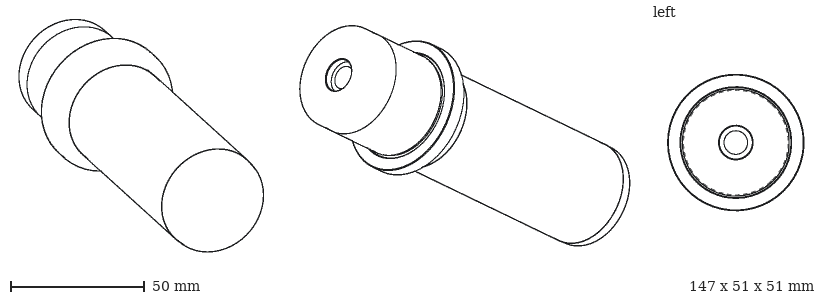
import cadquery as cq
import math

length = 147.0
shaft_radius = 20.0
lead_clearance = 0.03
lead_radius = shaft_radius - lead_clearance
lead_end = 9.7
short_end_round = 1.9

flange_radius = 25.5
flange_start = 36.8
flange_end = 43.0
flange_chamfer = 0.3
flange_back_round = 0.9

undercut_start = 35.9
undercut_radius = 19.5
face_groove_radius = 20.9
face_groove_depth = 0.3

neck_radius = 19.8
neck_end = 50.9
neck_fillet = 1.2

tip_start = 141.7
tip_radius = 19.8
tip_round = 2.2

recess_radius = 6.2
recess_depth = 3.1
recess_chamfer = 0.3
hole_radius = 4.4
hole_depth = 20.6
drill_point_angle = 120.0

diagonal = math.sqrt(0.5)


def round_middle(center_x, center_r, radius, x_sign, r_sign):
    """Midpoint of a quarter-circle arc in the half profile."""
    return (center_x + x_sign * radius * diagonal, center_r + r_sign * radius * diagonal)


def make_body():
    """Revolve the stepped outline about the X axis."""
    short_face_radius = lead_radius - short_end_round
    flange_back_radius = flange_radius - flange_back_round
    flange_back_x = flange_end - flange_back_round
    fillet_x = flange_end + neck_fillet
    fillet_radius = neck_radius + neck_fillet
    tip_x = length - tip_round
    tip_face_radius = tip_radius - tip_round
    groove_end = flange_start + face_groove_depth

    outline = (
        cq.Workplane("XY")
        .moveTo(0, 0)
        .lineTo(0, short_face_radius)
        .threePointArc(
            round_middle(short_end_round, short_face_radius, short_end_round, -1, 1),
            (short_end_round, lead_radius),
        )
        .lineTo(lead_end, lead_radius)
        .lineTo(lead_end, shaft_radius)
        .lineTo(undercut_start, shaft_radius)
        .lineTo(undercut_start + shaft_radius - undercut_radius, undercut_radius)
        .lineTo(groove_end, undercut_radius)
        .lineTo(groove_end, face_groove_radius - face_groove_depth)
        .lineTo(flange_start, face_groove_radius)
        .lineTo(flange_start, flange_radius - flange_chamfer)
        .lineTo(flange_start + flange_chamfer, flange_radius)
        .lineTo(flange_back_x, flange_radius)
        .threePointArc(
            round_middle(flange_back_x, flange_back_radius, flange_back_round, 1, 1),
            (flange_end, flange_back_radius),
        )
        .lineTo(flange_end, fillet_radius)
        .threePointArc(
            round_middle(fillet_x, fillet_radius, neck_fillet, -1, -1),
            (fillet_x, neck_radius),
        )
        .lineTo(neck_end, neck_radius)
        .lineTo(neck_end, shaft_radius)
        .lineTo(tip_start, shaft_radius)
        .lineTo(tip_start, tip_radius)
        .lineTo(tip_x, tip_radius)
        .threePointArc(
            round_middle(tip_x, tip_face_radius, tip_round, 1, 1),
            (length, tip_face_radius),
        )
        .lineTo(length, 0)
        .close()
    )
    return outline.revolve(360, (0, 0, 0), (1, 0, 0))


def make_center_hole():
    """Blind hole with a conical bottom and a shallow recess at the short end."""
    cone_depth = hole_radius / math.tan(math.radians(drill_point_angle / 2))
    outline = [
        (0, 0),
        (0, recess_radius + recess_chamfer),
        (recess_chamfer, recess_radius),
        (recess_depth, recess_radius),
        (recess_depth, hole_radius),
        (hole_depth, hole_radius),
        (hole_depth + cone_depth, 0),
    ]
    return cq.Workplane("XY").polyline(outline).close().revolve(360, (0, 0, 0), (1, 0, 0))


result = make_body().cut(make_center_hole())